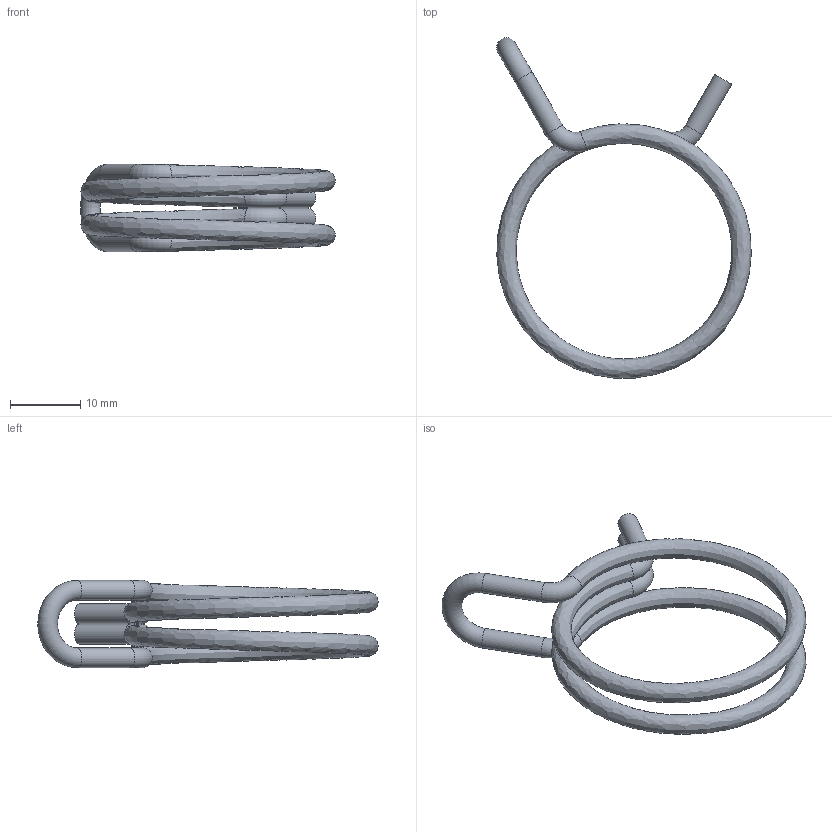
import cadquery as cq
import math

wire_radius = 1.4
ring_radius = 16.69
bend_radius = 3.5
overall_height = 12.4
tang_gap = 0.1
loop_tip_radius = 33.4
tang_end_radius = 28.2
loop_angle = 120
tang_angle = 60

arm_height = overall_height / 2 - wire_radius
loop_radius = arm_height
loop_start_radius = loop_tip_radius - loop_radius
bend_centre_distance = ring_radius + bend_radius
bend_angle = math.degrees(math.asin(bend_radius / bend_centre_distance))
arm_start_radius = math.sqrt(bend_centre_distance**2 - bend_radius**2)
coil_start_angle = tang_angle + bend_angle
coil_end_angle = loop_angle - bend_angle + 360
coil_turns = (coil_end_angle - coil_start_angle) / 360
tang_height = wire_radius + tang_gap / 2
coil_rise = arm_height - tang_height


def polar(radius, angle, height):
    """Point at a distance and direction from the coil axis."""
    turn = math.radians(angle)
    return cq.Vector(radius * math.cos(turn), radius * math.sin(turn), height)


def wire_section(point, normal):
    """Round wire cross section at a point, facing along normal."""
    return cq.Workplane(cq.Plane(origin=point, normal=normal)).circle(wire_radius)


def straight(angle, start_radius, end_radius, height):
    """Straight radial length of wire."""
    start = polar(start_radius, angle, height)
    return wire_section(start, polar(1, angle, 0)).extrude(end_radius - start_radius)


def bend(arm_angle, side, height):
    """Flat bend from a radial arm to the coil; side is +1 if the coil lies counterclockwise."""
    start = polar(arm_start_radius, arm_angle, height)
    centre = polar(bend_centre_distance, arm_angle + side * bend_angle, height)
    plane = cq.Plane(origin=start, xDir=centre - start, normal=polar(1, arm_angle, 0))
    section = cq.Workplane(plane).circle(wire_radius)
    return section.revolve(90 - bend_angle, (bend_radius, 0), (bend_radius, -1))


def coil():
    """Helical turn rising from the tang bend to the arm bend."""
    pitch = coil_rise / coil_turns
    path = cq.Wire.makeHelix(pitch, coil_rise, ring_radius)
    section = cq.Workplane("XZ").center(ring_radius, 0).circle(wire_radius)
    turn = section.sweep(cq.Workplane(path), isFrenet=True)
    return turn.rotate((0, 0, 0), (0, 0, 1), coil_start_angle).translate((0, 0, tang_height))


def loop():
    """Half circle of wire joining the upper arm to the lower arm."""
    start = polar(loop_start_radius, loop_angle, arm_height)
    plane = cq.Plane(origin=start, xDir=(0, 0, -1), normal=polar(1, loop_angle, 0))
    section = cq.Workplane(plane).circle(wire_radius)
    return section.revolve(180, (loop_radius, 0), (loop_radius, 1))


def upper_half():
    """Wire above the mid plane, from the tang end to the start of the loop."""
    wire = coil()
    wire = wire.union(bend(tang_angle, 1, tang_height))
    wire = wire.union(straight(tang_angle, arm_start_radius, tang_end_radius, tang_height))
    wire = wire.union(bend(loop_angle, -1, arm_height))
    return wire.union(straight(loop_angle, arm_start_radius, loop_start_radius, arm_height))


upper = upper_half()
lower = upper.mirror("XY")
result = upper.union(loop()).union(lower)